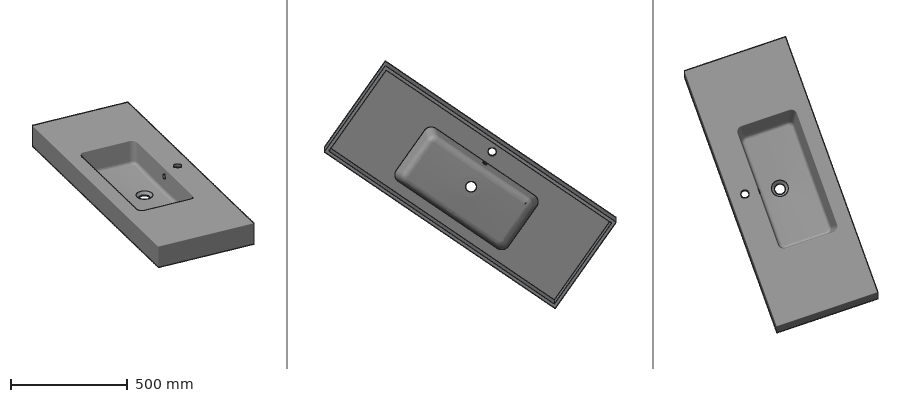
import cadquery as cq

LENGTH = 1205.0
WIDTH = 460.0
SLAB_HEIGHT = 102.0
TOTAL_HEIGHT = 120.0
SHELL = 15.0
EDGE_ROUND = 2.0

MOUTH_HALF_LENGTH = 287.0
MOUTH_BACK_Y = 105.0
MOUTH_FRONT_Y = -164.0
MOUTH_CORNER = 25.0
END_LEAN = 28.0
BACK_LEAN = 13.0
FRONT_LEAN = 27.0
BASIN_WALL = 10.0
FLOOR_THICKNESS = 17.0
FLOOR_ROUND = 15.0
UNDERSIDE_ROUND = 29.0

DRAIN_Y = 6.0
SEAT_DIAMETER = 72.0
OUTLET_DIAMETER = 46.0
SEAT_HEIGHT = 12.0
SEAT_TOP_Z = FLOOR_THICKNESS - TOTAL_HEIGHT

FUNNEL_HALF_LENGTH = 470.0
FUNNEL_HALF_WIDTH = 229.0
FUNNEL_RISE = 12.0

TAP_DIAMETER = 35.0
TAP_Y = 165.0
OVERFLOW_DIAMETER = 20.0
OVERFLOW_Z = -36.0


def slab():
    """Rectangular slab with softened edges, open underneath."""
    block = (
        cq.Workplane("XY")
        .rect(LENGTH, WIDTH)
        .extrude(-SLAB_HEIGHT)
        .edges("|Z or >Z")
        .fillet(EDGE_ROUND)
    )
    hollow = (
        cq.Workplane("XY", origin=(0, 0, -SHELL))
        .rect(LENGTH - 2 * SHELL, WIDTH - 2 * SHELL)
        .extrude(-SLAB_HEIGHT)
    )
    return block.cut(hollow)


def basin_outline(half_length, back, front, corner, z):
    """Rounded rectangle around the basin at height z."""
    outline = cq.Sketch().rect(2 * half_length, back - front).vertices().fillet(corner)
    return outline.moved(cq.Location(cq.Vector(0, (back + front) / 2, z)))


def basin_walls(growth):
    """Solid within the leaning basin walls, moved outwards by growth."""
    half_length = MOUTH_HALF_LENGTH + growth
    back = MOUTH_BACK_Y + growth
    front = MOUTH_FRONT_Y - growth
    corner = MOUTH_CORNER + growth
    lean_scale = TOTAL_HEIGHT / -SEAT_TOP_Z
    mouth = basin_outline(half_length, back, front, corner, 0)
    foot = basin_outline(
        half_length - END_LEAN * lean_scale,
        back - BACK_LEAN * lean_scale,
        front + FRONT_LEAN * lean_scale,
        corner,
        -TOTAL_HEIGHT,
    )
    return cq.Workplane("XY").placeSketch(mouth, foot).loft(ruled=True)


def quartered_ellipse(half_length, half_width, z):
    """Ellipse around the drain axis, made of four quarter arcs."""
    centre = cq.Vector(0, DRAIN_Y, z)
    normal = cq.Vector(0, 0, 1)
    long_axis = cq.Vector(1, 0, 0)
    quarters = [
        cq.Edge.makeEllipse(half_length, half_width, centre, normal, long_axis, start, start + 90)
        for start in (0, 90, 180, 270)
    ]
    return cq.Wire.assembleEdges(quarters)


def funnel(ring_radius, ring_z):
    """Solid above a sloping floor that falls to a ring around the drain."""
    rim_z = ring_z + FUNNEL_RISE
    rim = quartered_ellipse(FUNNEL_HALF_LENGTH, FUNNEL_HALF_WIDTH, rim_z)
    ring = quartered_ellipse(ring_radius, ring_radius, ring_z)
    slope = cq.Solid.makeLoft([ring, rim], True)
    above = cq.Solid.extrudeLinear(rim, [], cq.Vector(0, 0, -rim_z))
    return cq.Workplane(slope).union(cq.Workplane(above))


def zone(half_length, back, front, bottom, top):
    """Selector for whatever has its centre inside a box around the basin."""
    return cq.selectors.BoxSelector((-half_length, front, bottom), (half_length, back, top))


def basin(growth, ring_z, floor_round):
    """Basin volume, pushed outwards by growth, with a rounded edge around its floor."""
    body = basin_walls(growth).intersect(funnel(SEAT_DIAMETER / 2 + growth, ring_z))
    walls = body.faces(zone(LENGTH, WIDTH, -WIDTH, 0.75 * ring_z, 0.25 * ring_z))
    highest_floor_z = ring_z + FUNNEL_RISE
    floor_edges = [edge for edge in walls.edges().vals() if edge.BoundingBox().zmax < highest_floor_z]
    return body.newObject(floor_edges).fillet(floor_round)


def drain():
    """Conical seat and the outlet below it, down through the underside."""
    seat_top = cq.Vector(0, DRAIN_Y, SEAT_TOP_Z)
    down = cq.Vector(0, 0, -1)
    seat = cq.Solid.makeCone(SEAT_DIAMETER / 2, OUTLET_DIAMETER / 2, SEAT_HEIGHT, seat_top, down)
    outlet = cq.Solid.makeCylinder(OUTLET_DIAMETER / 2, FLOOR_THICKNESS, seat_top, down)
    return cq.Workplane(seat).union(cq.Workplane(outlet))


def tap_hole():
    """Round hole through the deck behind the basin."""
    return cq.Workplane("XY").center(0, TAP_Y).circle(TAP_DIAMETER / 2).extrude(-2 * SHELL)


def overflow_hole():
    """Round hole through the back wall of the basin."""
    reach = MOUTH_BACK_Y + 2 * BASIN_WALL
    return cq.Workplane("XZ").center(0, OVERFLOW_Z).circle(OVERFLOW_DIAMETER / 2).extrude(-reach)


def rounded_mouth(body):
    """Soften the edge where the deck turns down into the basin."""
    margin = EDGE_ROUND
    mouth_zone = zone(
        MOUTH_HALF_LENGTH + margin, MOUTH_BACK_Y + margin, MOUTH_FRONT_Y - margin, -margin, margin
    )
    return body.edges(mouth_zone).fillet(EDGE_ROUND)


outside = basin(BASIN_WALL, -TOTAL_HEIGHT, UNDERSIDE_ROUND)
cavity = basin(0, SEAT_TOP_Z, FLOOR_ROUND)
washbasin = rounded_mouth(slab().union(outside).cut(cavity))
result = washbasin.cut(drain()).cut(tap_hole()).cut(overflow_hole())